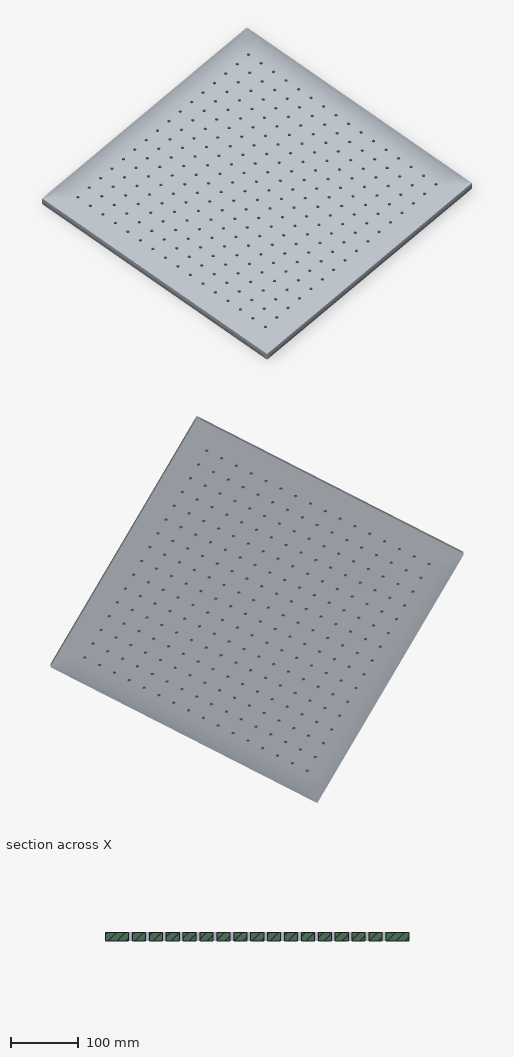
import cadquery as cq

plate_side = 450.0
plate_thickness = 13.0
hole_diameter = 5.0
holes_per_side = 16

edge_margin_steps = 1.5
steps_per_side = holes_per_side - 1 + 2 * edge_margin_steps
hole_pitch = plate_side / steps_per_side

plate = cq.Workplane("XY").box(plate_side, plate_side, plate_thickness)

result = (
    plate.faces(">Z")
    .workplane()
    .rarray(hole_pitch, hole_pitch, holes_per_side, holes_per_side)
    .hole(hole_diameter)
)